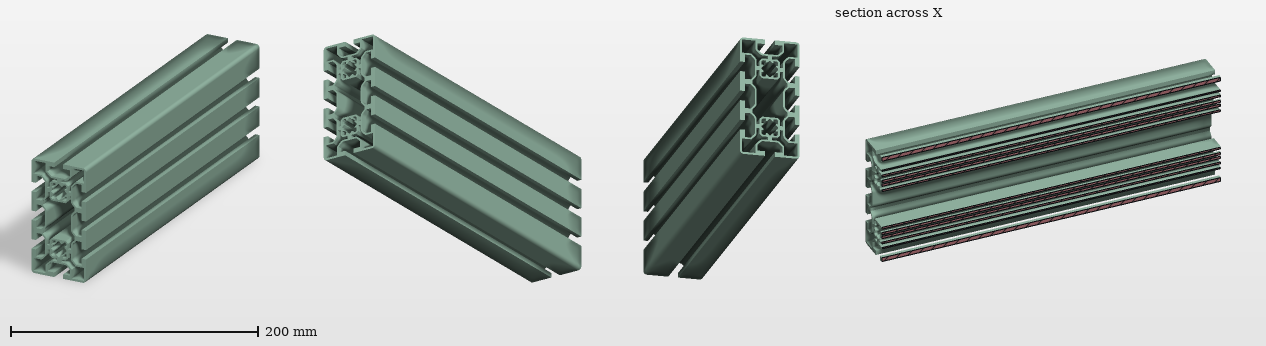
import cadquery as cq
import math

LENGTH = 300.0
WIDTH = 50.0
HEIGHT = 2 * WIDTH
CORNER_RADIUS = 3.0
OUTER_WALL = 1.8

SLOT_PITCH = WIDTH / 2
SLOT_MOUTH = 8.2
SLOT_CHAMBER = 20.8
SLOT_DEPTH = 12.5
SLOT_FLOOR_CHAMFER = 3.6
SLOT_FLOOR_RADIUS = 3.5
LIP_THICKNESS = 4.0
INNER_WALL = 1.5

CHAMFER_GROWTH = INNER_WALL * (2 - math.sqrt(2))

SHELL_WIDTH = SLOT_CHAMBER + 2 * INNER_WALL
SHELL_DEPTH = SLOT_DEPTH + INNER_WALL
SHELL_CHAMFER = SLOT_FLOOR_CHAMFER + CHAMFER_GROWTH
SHELL_RADIUS = SLOT_FLOOR_RADIUS + INNER_WALL

SLOT_WEB_DEPTH = 10.4
SLOT_WEB_HEIGHT = SLOT_PITCH - SLOT_CHAMBER

CORE_SIZE = 17.0
CORE_CHAMFER = 2.0
CORE_BORE = CORE_SIZE - 2 * INNER_WALL
BORE_CHAMFER = CORE_CHAMFER - CHAMFER_GROWTH
CORE_WEB = 3.5
TOOTH_TIP = 5.2
TOOTH_OUTER = 3.1
TOOTH_TIP_INNER = 2.2
TOOTH_ROOT_INNER = 0.4

SLOT_PLACES = [(0, HEIGHT / 2, 0), (0, -HEIGHT / 2, 180)]
for slot_height in (-SLOT_PITCH, 0, SLOT_PITCH):
    SLOT_PLACES.append((-WIDTH / 2, slot_height, -90))
    SLOT_PLACES.append((WIDTH / 2, slot_height, 90))


def extruded(outline):
    """Extrude an outline in the XZ plane over the full length, centred on Y = 0."""
    return outline.extrude(LENGTH / 2, both=True)


def bar(width, bottom, top):
    """Rectangular bar centred on X = 0 between two heights."""
    outline = cq.Workplane("XZ").center(0, (bottom + top) / 2).rect(width, top - bottom)
    return extruded(outline)


def chamfered_square_bar(size, chamfer):
    """Square bar centred on the origin, with its long edges chamfered."""
    return bar(size, -size / 2, size / 2).edges("|Y").chamfer(chamfer)


def trough(width, top_depth, floor_depth, chamfer, radius):
    """Bar below Z = 0 with chamfered floor corners, each chamfer blended into the floor."""
    chamfered = bar(width, -floor_depth, -top_depth).faces("<Z").edges("|Y").chamfer(chamfer)
    return chamfered.faces("<Z").edges("|Y").fillet(radius)


def turned(solid, angle):
    """Turn a solid about the Y axis."""
    return solid.rotate((0, 0, 0), (0, 1, 0), angle)


def at_each_slot(solid):
    """Copies of a solid modelled under a face at Z = 0, one for every slot."""
    return [turned(solid, angle).translate((x, 0, z)) for x, z, angle in SLOT_PLACES]


def slot_cutter():
    """T-slot: a narrow mouth opening into a chamber with chamfered floor corners."""
    mouth = bar(SLOT_MOUTH, -LIP_THICKNESS, 0)
    chamber = trough(SLOT_CHAMBER, LIP_THICKNESS, SLOT_DEPTH, SLOT_FLOOR_CHAMFER, SLOT_FLOOR_RADIUS)
    return mouth.union(chamber)


def inner_void():
    """Hollow interior, left clear of the slot walls and of the webs between the side slots."""
    void = bar(WIDTH - 2 * OUTER_WALL, OUTER_WALL - HEIGHT / 2, HEIGHT / 2 - OUTER_WALL)
    slot_shell = trough(SHELL_WIDTH, 0, SHELL_DEPTH, SHELL_CHAMFER, SHELL_RADIUS)
    for shell in at_each_slot(slot_shell):
        void = void.cut(shell)
    slot_web = bar(SLOT_WEB_DEPTH, -SLOT_WEB_HEIGHT / 2, SLOT_WEB_HEIGHT / 2)
    for side in (-1, 1):
        for level in (-1, 1):
            x = side * (WIDTH - SLOT_WEB_DEPTH) / 2
            void = void.cut(slot_web.translate((x, 0, level * SLOT_PITCH / 2)))
    return void


def core_tooth(side):
    """Tooth on the upper bore wall: upright outer flank, sloping inner flank."""
    root = CORE_BORE / 2
    points = [
        (side * TOOTH_OUTER, root),
        (side * TOOTH_OUTER, TOOTH_TIP),
        (side * TOOTH_TIP_INNER, TOOTH_TIP),
        (side * TOOTH_ROOT_INNER, root),
    ]
    return extruded(cq.Workplane("XZ").polyline(points).close())


def screw_core():
    """Toothed square tube with webs to the left, right and upper slot floors."""
    core = chamfered_square_bar(CORE_SIZE, CORE_CHAMFER)
    floor_distance = WIDTH / 2 - SLOT_DEPTH - INNER_WALL
    web = bar(CORE_WEB, 0, floor_distance)
    for angle in (-90, 0, 90):
        core = core.union(turned(web, angle))
    core = core.cut(chamfered_square_bar(CORE_BORE, BORE_CHAMFER))
    for side in (-1, 1):
        for angle in (0, 90, 180, 270):
            core = core.union(turned(core_tooth(side), angle))
    return core


result = bar(WIDTH, -HEIGHT / 2, HEIGHT / 2).edges("|Y").fillet(CORNER_RADIUS)
result = result.cut(inner_void())
for slot in at_each_slot(slot_cutter()):
    result = result.cut(slot)

upper_core = screw_core()
lower_core = turned(upper_core, 180)
result = result.union(upper_core.translate((0, 0, SLOT_PITCH)))
result = result.union(lower_core.translate((0, 0, -SLOT_PITCH)))